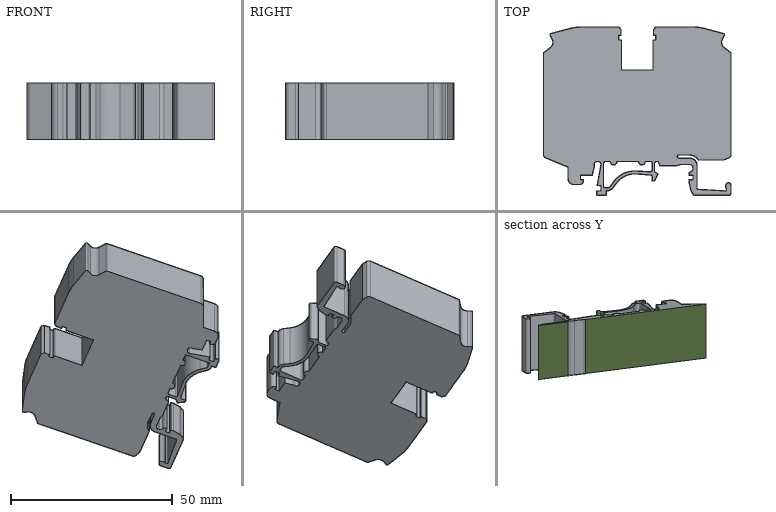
import cadquery as cq
import math

width = 58.0
height = 52.0
thickness = 17.5
half_width = width / 2

tiny_radius = 0.3
inner_radius = 0.45
shortest_line = 0.0005

slot_half_width = 4.8
slot_floor = 38.75
lip_half_width = 5.0
lip_chamfer_x = 0.65
lip_chamfer_y = 0.85
groove_half_width = 5.7
groove_top = 49.4
groove_bottom = 48.0
groove_radius = 0.25
shoulder_x = 19.15
shoulder_radius = 11.6
shoulder_slope = math.tan(math.radians(15))
ear_x = 27.2
ear_y = height - (ear_x - shoulder_x) * shoulder_slope
ear_radius = 0.45
ear_notch = (25.45, 46.75, 2.1)
side_top = 44.0

side_bottom = 11.85
side_radius = 1.15
underside_slope = 0.41
underside_right = 10.9
rail_ceiling = 10.45

foot_left = -21.4
foot_bottom = 3.3
foot_radius = 1.85
foot_hook_right = -16.6
foot_hook_radius = 1.3
foot_neck = -17.5
lug_top = 4.9
lug_gap_top = 6.2
foot_inner = -13.85

relief_left = -13.3
relief_right = -11.25
relief_radius = 0.85
relief_bend_left = 8.8
relief_bend_right = 9.4
arm_tip_left = -12.4
arm_tip_bottom = 3.1
arm_neck_top = 2.95
arm_neck = -11.25
arm_inner = -10.4
toe_left = -12.6
toe_right = -9.5
toe_top = 1.4
window_floor = 2.45
spring_foot = (-8.65, window_floor, 0.35)
spring_crown = (-4.65, 7.8, 7.95)
spring_end_y = 7.3
spring_under_foot = (-8.25, toe_top, 2.2)
spring_under_crown = (-4.0, 6.9, 7.1)
spring_under_end_y = 6.2
post_left = 4.6
post_right = 5.4
post_barb = (6.45, 6.6, 0.25)
post_barb_top = 7.3
post_tip = (5.35, 4.4, 0.35)
notch_right = 6.4

step_left = 7.1
step_low = 9.1
step_high = 9.5
step_start = 12.0
step_end = 13.4
hook_left = 16.0
hook_neck = 17.15
hook_barb_top = 7.1
hook_bay_bottom = 7.6
hook_bay_radius = 0.9
hook_flank_top = 4.0
hook_flank = (16.5, 1.6, 0.6)
hook_heel = 17.45
hook_inner = 18.5
hook_floor_left = 1.9
hook_floor_right = 1.4
hook_outer_radius = 0.7
hook_lip_left = 27.3
hook_undercut = 27.55
hook_undercut_bottom = 2.1
hook_undercut_top = 2.4
hook_lip_top = 3.95
hook_lip_radius = (half_width - hook_lip_left) / 2

gap_left = 12.4
gap_width = 0.85
gap_bottom = 11.55
gap_inner_radius = 2.3

bump_radius = 1.05
bump_positions = (-7.3, 1.45)


def prism(corners):
    """Extrude a closed outline of (x, y, radius) corners."""
    count = len(corners)
    path = None
    for i, (x, y, radius) in enumerate(corners):
        corner = cq.Vector(x, y)
        if radius == 0:
            entry, middle, leave = corner, None, corner
        else:
            back = (cq.Vector(*corners[i - 1][:2]) - corner).normalized()
            ahead = (cq.Vector(*corners[(i + 1) % count][:2]) - corner).normalized()
            half_angle = back.getAngle(ahead) / 2
            reach = radius / math.tan(half_angle)
            entry = corner + back * reach
            leave = corner + ahead * reach
            bisector = (back + ahead).normalized()
            middle = corner + bisector * (radius / math.sin(half_angle) - radius)
        if path is None:
            path = cq.Workplane("XY").moveTo(entry.x, entry.y)
        elif (entry - previous).Length > shortest_line:
            path = path.lineTo(entry.x, entry.y)
        if middle is not None:
            path = path.threePointArc((middle.x, middle.y), (leave.x, leave.y))
        previous = leave
    return path.close().extrude(thickness)


def top_half():
    """Right half of the housing top, from the slot floor out to the side wall."""
    return [
        (slot_half_width, slot_floor, 0),
        (slot_half_width, groove_bottom, groove_radius),
        (groove_half_width, groove_bottom, 0),
        (groove_half_width, groove_top, 0),
        (lip_half_width, groove_top, 0),
        (lip_half_width, height - lip_chamfer_y, 0),
        (lip_half_width + lip_chamfer_x, height, 0),
        (shoulder_x, height, shoulder_radius),
        (ear_x, ear_y, ear_radius),
        ear_notch,
        (half_width, side_top, tiny_radius),
    ]


def right_hook():
    """Underside on the right and the hook, from the side wall to the rail."""
    return [
        (half_width, side_bottom, side_radius),
        (half_width - (side_bottom - underside_right) / underside_slope, underside_right, 0),
        (hook_inner, underside_right, 0),
        (hook_inner, hook_floor_left, tiny_radius),
        (hook_undercut, hook_floor_right, tiny_radius),
        (hook_undercut, hook_undercut_bottom, 0),
        (hook_lip_left, hook_undercut_top, 0),
        (hook_lip_left, hook_lip_top, hook_lip_radius),
        (half_width, hook_lip_top, hook_lip_radius),
        (half_width, 0, hook_outer_radius),
        (hook_heel, 0, tiny_radius),
        hook_flank,
        (hook_left, hook_flank_top, 0),
        (hook_left, lug_top, 0),
        (hook_neck, lug_top, 0),
        (hook_neck, lug_gap_top, 0),
        (hook_left, lug_gap_top, 0),
        (hook_left, hook_barb_top, tiny_radius),
        (hook_neck, hook_bay_bottom, hook_bay_radius),
        (hook_neck, step_high, hook_bay_radius),
        (step_end, step_high, 0),
        (step_start, step_low, 0),
        (step_left, step_low, 0),
        (notch_right, rail_ceiling, 0),
    ]


def latch():
    """Post, underside of the spring, toe and arm, from right to left."""
    return [
        (post_right, rail_ceiling, inner_radius),
        (post_right, post_barb_top, 0),
        post_barb,
        post_tip,
        (post_left, post_tip[1], 0),
        (post_left, spring_under_end_y, inner_radius),
        spring_under_crown,
        spring_under_foot,
        (toe_right, toe_top, 0),
        (toe_right, 0, tiny_radius),
        (toe_left, 0, tiny_radius),
        (toe_left, toe_top, 0),
        (arm_neck, toe_top, tiny_radius),
        (arm_neck, arm_neck_top, tiny_radius),
        (arm_tip_left, arm_tip_bottom, 0),
        (relief_right, relief_bend_right, 0),
        (relief_right, rail_ceiling, relief_radius),
    ]


def left_foot():
    """Fixed foot and sloped underside, from the latch to the side wall."""
    slope_drop = (foot_left + half_width) * underside_slope
    return [
        (relief_left, rail_ceiling, relief_radius),
        (relief_left, relief_bend_left, 0),
        (foot_inner, lug_gap_top, 0),
        (foot_neck, lug_gap_top, 0),
        (foot_neck, lug_top, 0),
        (foot_hook_right, lug_top, 0),
        (foot_hook_right, foot_bottom, foot_hook_radius),
        (foot_left, foot_bottom, foot_radius),
        (foot_left, side_bottom - slope_drop, 0),
        (-half_width, side_bottom, side_radius),
    ]


def spring_window():
    """Opening enclosed by the arm, the spring and the post."""
    return prism([
        (arm_inner, rail_ceiling, inner_radius),
        (arm_inner, window_floor, tiny_radius),
        spring_foot,
        spring_crown,
        (post_left, spring_end_y, inner_radius),
        (post_left, rail_ceiling, inner_radius),
    ])


def flex_gap():
    """Narrow curved gap that frees the hook from the housing."""
    top = gap_bottom + gap_width
    outer = hook_inner + gap_width
    end_y = gap_bottom - gap_inner_radius - gap_width
    end_radius = gap_width / 2
    return prism([
        (gap_left, top, end_radius),
        (outer, top, gap_inner_radius + gap_width),
        (outer, end_y, 0),
        (hook_inner, end_y, 0),
        (hook_inner, gap_bottom, gap_inner_radius),
        (gap_left, gap_bottom, end_radius),
    ])


right_top = top_half()
left_top = [(-x, y, radius) for x, y, radius in reversed(right_top)]
result = prism(right_top + right_hook() + latch() + left_foot() + left_top)
result = result.cut(spring_window()).cut(flex_gap())

for x in bump_positions:
    bump = cq.Workplane("XY").center(x, rail_ceiling).circle(bump_radius).extrude(thickness)
    result = result.union(bump)